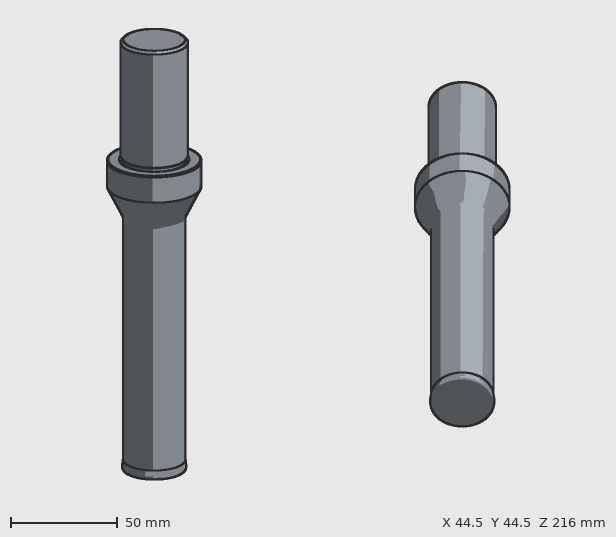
import cadquery as cq
import math

total_height = 216.03
shank_length = 60.0
collar_top = total_height - shank_length
collar_height = 13.3
collar_bottom = collar_top - collar_height
tip_height = 5.5

shank_radius = 31.75 / 2
shank_top_chamfer = 1.4

neck_radius = 15.3
neck_top = collar_top + 1.25
groove_radius = 16.5
groove_depth = 0.4

collar_radius = 44.45 / 2
collar_chamfer = 0.6
cone_height = 15.1
cone_blend_radius = 4.5

body_radius = 14.7

cutting_radius = 30.1625 / 2
flare_end = 2.5
corner_radius = 1.2
nose_radius = 1.2
nose_position = 6.2
tip_angle = math.radians(5)


def revolve_profile(profile):
    """Turn a half profile, drawn as (radius, height), about the Z axis."""
    return profile.close().revolve(360, (0, 0, 0), (0, 1, 0))


def make_holder():
    """Shank, relief groove, collar, cone and long cylindrical drill body."""
    shoulder_step = shank_radius - neck_radius
    cone_bottom = collar_bottom - cone_height

    cone_slope = math.atan2(collar_radius - body_radius, cone_height)
    blend_length = cone_blend_radius * math.tan(cone_slope / 2)
    arc_center_radius = body_radius + cone_blend_radius
    arc_center_height = cone_bottom - blend_length
    blend_start = (
        body_radius + blend_length * math.sin(cone_slope),
        cone_bottom + blend_length * math.cos(cone_slope),
    )
    blend_middle = (
        arc_center_radius - cone_blend_radius * math.cos(cone_slope / 2),
        arc_center_height + cone_blend_radius * math.sin(cone_slope / 2),
    )

    profile = (
        cq.Workplane("XZ")
        .moveTo(0, total_height)
        .lineTo(shank_radius - shank_top_chamfer, total_height)
        .lineTo(shank_radius, total_height - shank_top_chamfer)
        .lineTo(shank_radius, neck_top + shoulder_step)
        .lineTo(neck_radius, neck_top)
        .lineTo(neck_radius, collar_top - groove_depth)
        .lineTo(groove_radius, collar_top)
        .lineTo(collar_radius - collar_chamfer, collar_top)
        .lineTo(collar_radius, collar_top - collar_chamfer)
        .lineTo(collar_radius, collar_bottom)
        .lineTo(*blend_start)
        .threePointArc(blend_middle, (body_radius, arc_center_height))
        .lineTo(body_radius, tip_height)
        .lineTo(0, tip_height)
    )
    return revolve_profile(profile)


def make_tip():
    """Cutting tip: flares out to the cutting radius and ends in a rounded ring around a hollow."""
    nose_half_width = nose_radius * math.sin(tip_angle)
    nose_rise = nose_radius * (1 - math.cos(tip_angle))
    nose_outer = nose_position + nose_half_width
    nose_inner = nose_position - nose_half_width
    hollow_height = nose_rise + nose_inner * math.tan(tip_angle)

    arc_center_radius = cutting_radius - corner_radius
    arc_end_radius = arc_center_radius + corner_radius * math.sin(tip_angle)
    arc_end_height = nose_rise + (arc_end_radius - nose_outer) * math.tan(tip_angle)
    arc_center_height = arc_end_height + corner_radius * math.cos(tip_angle)
    middle_angle = (math.pi / 2 - tip_angle) / 2
    arc_middle = (
        arc_center_radius + corner_radius * math.cos(middle_angle),
        arc_center_height - corner_radius * math.sin(middle_angle),
    )

    profile = (
        cq.Workplane("XZ")
        .moveTo(0, tip_height)
        .lineTo(body_radius, tip_height)
        .lineTo(cutting_radius, flare_end)
        .lineTo(cutting_radius, arc_center_height)
        .threePointArc(arc_middle, (arc_end_radius, arc_end_height))
        .lineTo(nose_outer, nose_rise)
        .threePointArc((nose_position, 0), (nose_inner, nose_rise))
        .lineTo(0, hollow_height)
    )
    return revolve_profile(profile)


holder = make_holder()
tip = make_tip()

result = cq.Compound.makeCompound([holder.val(), tip.val()])